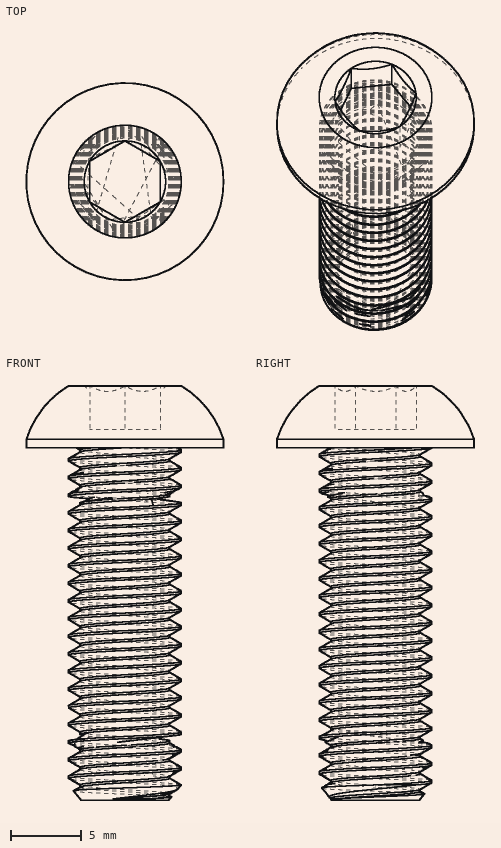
import cadquery as cq
import math


head_diameter = 14.0
head_height = 4.4
rim_height = 0.6
crown_flat_diameter = 8.0
crown_bulge = 0.44

socket_across_flats = 5.0
socket_depth = 3.1
countersink_angle = 90.0

thread_diameter = 8.0
thread_length = 25.0
thread_pitch = 1.25
flank_angle = 60.0
crest_width = thread_pitch / 8
root_width = thread_pitch / 8
first_crest_depth = 0.23
tip_diameter = 6.2
tip_chamfer_height = 1.1

head_radius = head_diameter / 2
crown_flat_radius = crown_flat_diameter / 2
socket_corner_radius = socket_across_flats / math.sqrt(3)
thread_radius = thread_diameter / 2
groove_width = thread_pitch - crest_width
groove_depth = (groove_width - root_width) / 2 / math.tan(math.radians(flank_angle / 2))
groove_clearance = 0.3
turns_past_tip = 1
turns_past_seat = 2


def make_head():
    """Domed head: a short cylindrical rim below an arc that ends at the flat top."""
    drop = head_height - rim_height
    run = head_radius - crown_flat_radius
    chord = math.hypot(run, drop)
    arc_middle = (
        (head_radius + crown_flat_radius) / 2 + crown_bulge * drop / chord,
        (rim_height + head_height) / 2 + crown_bulge * run / chord,
    )
    return (
        cq.Workplane("XZ")
        .lineTo(head_radius, 0)
        .lineTo(head_radius, rim_height)
        .threePointArc(arc_middle, (crown_flat_radius, head_height))
        .lineTo(0, head_height)
        .close()
        .revolve(360, (0, 0, 0), (0, 1, 0))
    )


def make_socket():
    """Hexagon with corners on the Y axis, opened by a countersink as wide as its corners."""
    hexagon = (
        cq.Workplane("XY", origin=(0, 0, head_height))
        .transformed(rotate=(0, 0, 90))
        .polygon(6, 2 * socket_corner_radius)
        .extrude(-socket_depth)
    )
    cone_depth = socket_corner_radius / math.tan(math.radians(countersink_angle / 2))
    countersink = (
        cq.Workplane("XZ", origin=(0, 0, head_height))
        .lineTo(socket_corner_radius, 0)
        .lineTo(0, -cone_depth)
        .close()
        .revolve(360, (0, 0, 0), (0, 1, 0))
    )
    return hexagon.union(countersink)


def make_shank_blank():
    """Plain shank at the crest diameter with a conical tip."""
    return (
        cq.Workplane("XZ")
        .lineTo(thread_radius, 0)
        .lineTo(thread_radius, tip_chamfer_height - thread_length)
        .lineTo(tip_diameter / 2, -thread_length)
        .lineTo(0, -thread_length)
        .close()
        .revolve(360, (0, 0, 0), (0, 1, 0))
    )


def make_thread_groove():
    """Right-hand helical V groove that overruns both ends of the shank."""
    thread_turns = math.ceil(thread_length / thread_pitch)
    turns = turns_past_tip + thread_turns + turns_past_seat
    first_groove_z = thread_pitch / 2 - first_crest_depth
    start_z = first_groove_z - (thread_turns + turns_past_tip) * thread_pitch
    root_radius = thread_radius - groove_depth
    outer_radius = thread_radius + groove_clearance
    path = cq.Wire.makeHelix(thread_pitch, turns * thread_pitch, thread_radius).translate(
        cq.Vector(0, 0, start_z)
    )
    return (
        cq.Workplane("XZ")
        .moveTo(root_radius, start_z - root_width / 2)
        .lineTo(thread_radius, start_z - groove_width / 2)
        .lineTo(outer_radius, start_z - groove_width / 2)
        .lineTo(outer_radius, start_z + groove_width / 2)
        .lineTo(thread_radius, start_z + groove_width / 2)
        .lineTo(root_radius, start_z + root_width / 2)
        .close()
        .sweep(cq.Workplane(path), isFrenet=True)
    )


head = make_head().cut(make_socket())
shank = make_shank_blank().cut(make_thread_groove())
result = head.union(shank)